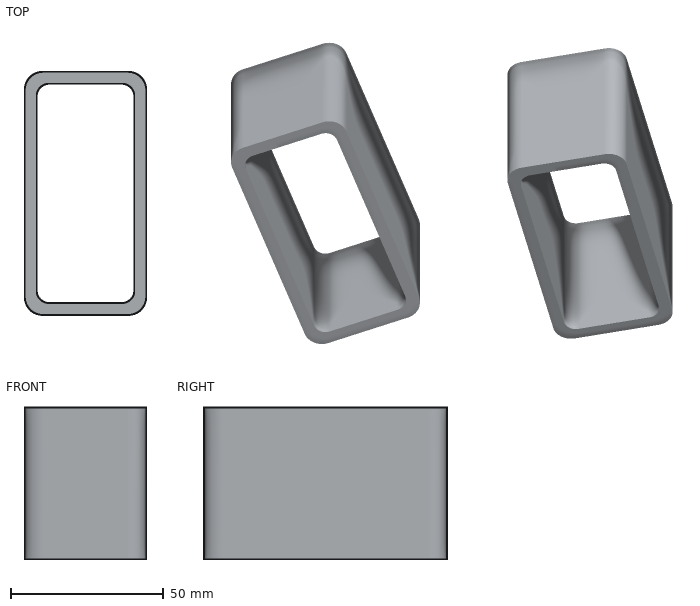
import cadquery as cq

width = 40.0
length = 80.0
height = 50.0
wall = 4.0
outer_corner_radius = 6.0
inner_corner_radius = 4.0


def rounded_block(size_x, size_y, corner_radius):
    """Full-height block with its four vertical edges rounded, standing on Z = 0."""
    block = cq.Workplane("XY").rect(size_x, size_y).extrude(height)
    return block.edges("|Z").fillet(corner_radius)


outer_body = rounded_block(width, length, outer_corner_radius)
bore = rounded_block(width - 2 * wall, length - 2 * wall, inner_corner_radius)

result = outer_body.cut(bore)